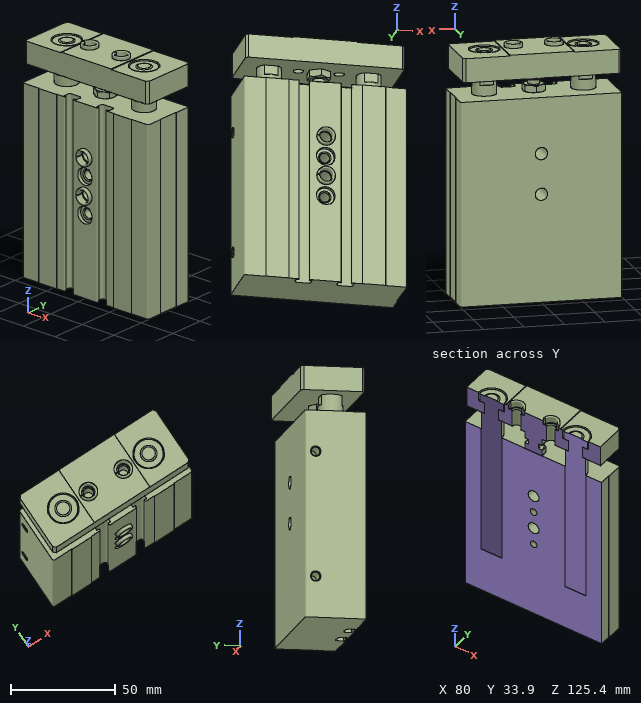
import cadquery as cq
import math


housing_width = 80.0
housing_depth = 30.1
housing_height = 101.2
housing_corner_radius = 1.0
housing_front_y = -housing_depth / 2

slot_spacing = 20.7
slot_mouth_width = 5.1
slot_cavity_width = 7.8
slot_lip_thickness = 1.3
slot_depth = 5.3
slot_corner_radius = 1.4
slot_edge_radius = 0.5

outer_land_width = 11.4
outer_land_spacing = 47.5
land_height = 0.3
side_groove_width = 11.4
side_groove_depth = 0.3

plate_width = 78.1
plate_back_y = 16.9
plate_front_y = -14.2
plate_bottom_z = 111.2
plate_shoulder_z = 123.1
pad_width = 31.9
pad_top_z = 123.5
plate_corner_chamfer = 1.3

rod_spacing = 49.0
rod_diameter = 12.0
rod_insertion = 75.2
rod_flat_spacing = 10.0
rod_flat_bottom_z = 106.5
stud_diameter = 8.0
stud_tip_diameter = 6.4
stud_chamfer_height = 0.4
stud_tip_z = plate_shoulder_z - 0.1
flange_diameter = 14.0
flange_top_z = stud_tip_z - stud_chamfer_height
flange_recess_diameter = 15.0
flange_recess_depth = 5.0
flange_bottom_z = plate_shoulder_z - flange_recess_depth

hex_across_flats = 10.3
nut_face_diameter = 9.0
head_face_diameter = 10.2
hex_chamfer_angle = 30.0
stop_shank_diameter = 6.0
stop_nut_bottom_z = 107.3
stop_head_top_z = 104.8

sleeve_diameter = 8.9
sleeve_bore_diameter = 6.4
sleeve_protrusion = 1.9
sleeve_seat_depth = 2.1
sleeve_length = sleeve_protrusion + sleeve_seat_depth
sleeve_slit_width = 0.3
empty_seat_diameter = 9.0

front_hole_top_z = 73.5
front_hole_pitch = 10.0
through_hole_diameter = 6.0
thread_diameter = 6.0
core_diameter = 4.9
front_hole_depth = 12.5
side_thread_diameter = 5.0
side_core_diameter = 4.1
side_hole_y = 10.0
side_hole_end_distance = 20.1
side_hole_depth = 10.0
plate_hole_spacing = 20.1
drill_point_angle = 118.0

through_hole_zs = [front_hole_top_z - step * front_hole_pitch for step in (0, 2)]
blind_hole_zs = [front_hole_top_z - step * front_hole_pitch for step in (1, 3)]
side_hole_zs = [side_hole_end_distance, housing_height - side_hole_end_distance]
plate_hole_xs = [-plate_hole_spacing / 2, plate_hole_spacing / 2]
rod_xs = [-rod_spacing / 2, rod_spacing / 2]


def block(x_range, y_range, z_range):
    """Box spanning the given ranges."""
    sizes = [high - low for low, high in (x_range, y_range, z_range)]
    corner = (x_range[0], y_range[0], z_range[0])
    return cq.Workplane("XY").box(*sizes, centered=False).translate(corner)


def cylinder(diameter, length, start, direction):
    """Cylinder from a start point along a direction."""
    solid = cq.Solid.makeCylinder(diameter / 2, length, cq.Vector(*start), cq.Vector(*direction))
    return cq.Workplane(solid)


def threaded_hole(thread_diameter, core_diameter, depth, start, direction):
    """Cutter for a blind core hole with a 45 degree entry chamfer and a conical drill point."""
    thread_radius = thread_diameter / 2
    core_radius = core_diameter / 2
    chamfer = thread_radius - core_radius
    point_length = core_radius / math.tan(math.radians(drill_point_angle / 2))
    profile = [
        (0, 0),
        (thread_radius, 0),
        (core_radius, chamfer),
        (core_radius, depth),
        (0, depth + point_length),
    ]
    plane = cq.Plane(origin=start, xDir=(0, 0, 1) if direction[2] == 0 else (1, 0, 0), normal=direction)
    upright = cq.Workplane("XZ").polyline(profile).close().revolve(360, (0, 0), (0, 1)).val()
    return cq.Workplane(upright.moved(cq.Location(plane)))


def slot_cutter(side):
    """Undercut slot along the full height; the mouth edges are rounded, the outer one on the lower face."""
    half_mouth = slot_mouth_width / 2
    half_cavity = slot_cavity_width / 2
    half_back = half_cavity - slot_corner_radius
    side_end = slot_depth - slot_corner_radius
    corner_offset = slot_corner_radius * (1 - math.sqrt(0.5))
    corner_middle = (half_cavity - corner_offset, slot_depth - corner_offset)
    wide_mouth = half_mouth + slot_edge_radius
    round_offset = slot_edge_radius * (1 - math.sqrt(0.5))
    outer_round_end = land_height + slot_edge_radius
    cutter = (
        cq.Workplane("XY")
        .moveTo(-wide_mouth, 0)
        .threePointArc((-half_mouth - round_offset, round_offset), (-half_mouth, slot_edge_radius))
        .lineTo(-half_mouth, slot_lip_thickness)
        .lineTo(-half_cavity, slot_lip_thickness)
        .lineTo(-half_cavity, side_end)
        .threePointArc((-corner_middle[0], corner_middle[1]), (-half_back, slot_depth))
        .lineTo(half_back, slot_depth)
        .threePointArc(corner_middle, (half_cavity, side_end))
        .lineTo(half_cavity, slot_lip_thickness)
        .lineTo(half_mouth, slot_lip_thickness)
        .lineTo(half_mouth, outer_round_end)
        .threePointArc((half_mouth + round_offset, land_height + round_offset), (wide_mouth, land_height))
        .lineTo(wide_mouth, 0)
        .close()
        .extrude(housing_height)
    )
    if side < 0:
        cutter = cutter.mirror("YZ")
    return cutter.translate((side * slot_spacing / 2, housing_front_y, 0))


def make_housing():
    half_width = housing_width / 2
    full_height = (0, housing_height)
    recessed_front_y = housing_front_y + land_height
    body = block((-half_width, half_width), (recessed_front_y, -housing_front_y), full_height)
    body = body.edges("|Z").fillet(housing_corner_radius)

    middle_land_half_width = slot_spacing / 2
    land_x_ranges = [(-middle_land_half_width, middle_land_half_width)]
    for side in (-1, 1):
        land_x = side * outer_land_spacing / 2
        land_x_ranges.append((land_x - outer_land_width / 2, land_x + outer_land_width / 2))
    for land_xs in land_x_ranges:
        body = body.union(block(land_xs, (housing_front_y, recessed_front_y), full_height))

    for side in (-1, 1):
        body = body.cut(slot_cutter(side))
    side_groove_xs = (half_width - side_groove_depth, half_width)
    side_groove_ys = (-side_groove_width / 2, side_groove_width / 2)
    body = body.cut(block(side_groove_xs, side_groove_ys, full_height))

    for z in through_hole_zs:
        front = (0, housing_front_y, z)
        body = body.cut(cylinder(sleeve_diameter, sleeve_seat_depth, front, (0, 1, 0)))
        body = body.cut(cylinder(through_hole_diameter, housing_depth, front, (0, 1, 0)))
    for z in blind_hole_zs:
        front = (0, housing_front_y, z)
        floor = (0, housing_front_y + sleeve_seat_depth, z)
        body = body.cut(cylinder(empty_seat_diameter, sleeve_seat_depth, front, (0, 1, 0)))
        body = body.cut(
            threaded_hole(thread_diameter, core_diameter, front_hole_depth, floor, (0, 1, 0))
        )
    for z in side_hole_zs:
        side_point = (-half_width, side_hole_y, z)
        body = body.cut(
            threaded_hole(side_thread_diameter, side_core_diameter, side_hole_depth, side_point, (1, 0, 0))
        )

    for x in rod_xs:
        body = body.cut(cylinder(rod_diameter, rod_insertion, (x, 0, housing_height), (0, 0, -1)))
    return body


def chamfered_hexagon(bottom_z, top_z, chamfered_faces, face_diameter):
    """Hexagon with corners toward -Y and +Y; the cone cuts only the corners."""
    corner_diameter = hex_across_flats / math.cos(math.pi / 6)
    height = top_z - bottom_z
    prism = cq.Workplane("XY").polygon(6, corner_diameter).extrude(height).rotate((0, 0, 0), (0, 0, 1), 90)
    chamfer_width = (corner_diameter - face_diameter) / 2
    chamfer_height = chamfer_width * math.tan(math.radians(hex_chamfer_angle))
    round_blank = cq.Workplane("XY").circle(corner_diameter / 2).extrude(height)
    round_blank = round_blank.faces(chamfered_faces).chamfer(chamfer_height, chamfer_width)
    return prism.intersect(round_blank).translate((0, 0, bottom_z))


def make_carriage():
    """Plate with raised middle pad, carrying the stop screw and its lock nut."""
    half_width = plate_width / 2
    depth_range = (plate_front_y, plate_back_y)
    body = block((-half_width, half_width), depth_range, (plate_bottom_z, plate_shoulder_z))
    body = body.edges("|Z").chamfer(plate_corner_chamfer)
    body = body.union(block((-pad_width / 2, pad_width / 2), depth_range, (plate_shoulder_z, pad_top_z)))

    for x in plate_hole_xs:
        top = (x, 0, pad_top_z)
        body = body.cut(cylinder(sleeve_diameter, sleeve_seat_depth, top, (0, 0, -1)))
        floor = (x, 0, pad_top_z - sleeve_seat_depth)
        through_depth = floor[2] - plate_bottom_z
        body = body.cut(
            threaded_hole(thread_diameter, core_diameter, through_depth, floor, (0, 0, -1))
        )
    for x in rod_xs:
        shoulder = (x, 0, plate_shoulder_z)
        body = body.cut(cylinder(flange_recess_diameter, flange_recess_depth, shoulder, (0, 0, -1)))
        body = body.cut(cylinder(stud_diameter, plate_shoulder_z - plate_bottom_z, shoulder, (0, 0, -1)))

    lock_nut = chamfered_hexagon(stop_nut_bottom_z, plate_bottom_z, "<Z", nut_face_diameter)
    shank_length = stop_nut_bottom_z - stop_head_top_z
    shank = cylinder(stop_shank_diameter, shank_length, (0, 0, stop_head_top_z), (0, 0, 1))
    head = chamfered_hexagon(housing_height, stop_head_top_z, "|Z", head_face_diameter)
    return body.union(lock_nut).union(shank).union(head)


def make_rod(x):
    """Guide rod with wrench flats, a stud through the plate and a flange in the plate recess."""
    bottom_z = housing_height - rod_insertion
    rod = cylinder(rod_diameter, plate_bottom_z - bottom_z, (0, 0, bottom_z), (0, 0, 1))
    across = (-rod_diameter, rod_diameter)
    flat_zs = (rod_flat_bottom_z, plate_bottom_z)
    rod = rod.cut(block(across, (rod_flat_spacing / 2, rod_diameter), flat_zs))
    rod = rod.cut(block(across, (-rod_diameter, -rod_flat_spacing / 2), flat_zs))

    stud_length = flange_top_z - plate_bottom_z
    stud = cylinder(stud_diameter, stud_length, (0, 0, plate_bottom_z), (0, 0, 1))
    flange_height = flange_top_z - flange_bottom_z
    flange = cylinder(flange_diameter, flange_height, (0, 0, flange_bottom_z), (0, 0, 1))
    tip = cq.Workplane(
        cq.Solid.makeCone(
            stud_diameter / 2, stud_tip_diameter / 2, stud_chamfer_height, cq.Vector(0, 0, flange_top_z)
        )
    )
    return rod.union(stud).union(flange).union(tip).translate((x, 0, 0))


def make_sleeve(seat, direction):
    """Slit sleeve with fully rounded ends, standing on the seat floor; the slit faces -X."""
    outer_radius = sleeve_diameter / 2
    bore_radius = sleeve_bore_diameter / 2
    rim_radius = (outer_radius - bore_radius) / 2
    middle_radius = bore_radius + rim_radius
    sleeve = (
        cq.Workplane("XZ")
        .moveTo(bore_radius, rim_radius)
        .threePointArc((middle_radius, 0), (outer_radius, rim_radius))
        .lineTo(outer_radius, sleeve_length - rim_radius)
        .threePointArc((middle_radius, sleeve_length), (bore_radius, sleeve_length - rim_radius))
        .close()
        .revolve(360, (0, 0), (0, 1))
    )
    half_slit = sleeve_slit_width / 2
    sleeve = sleeve.cut(block((-sleeve_diameter, 0), (-half_slit, half_slit), (0, sleeve_length)))
    plane = cq.Plane(origin=seat, xDir=(1, 0, 0), normal=direction)
    return sleeve.val().moved(cq.Location(plane))


housing = make_housing()
carriage = make_carriage()
rods = [make_rod(x).val() for x in rod_xs]
front_sleeves = [
    make_sleeve((0, housing_front_y + sleeve_seat_depth, z), (0, -1, 0)) for z in through_hole_zs
]
plate_sleeves = [make_sleeve((x, 0, pad_top_z - sleeve_seat_depth), (0, 0, 1)) for x in plate_hole_xs]

result = cq.Compound.makeCompound(
    [housing.val(), carriage.val(), *rods, *front_sleeves, *plate_sleeves]
)